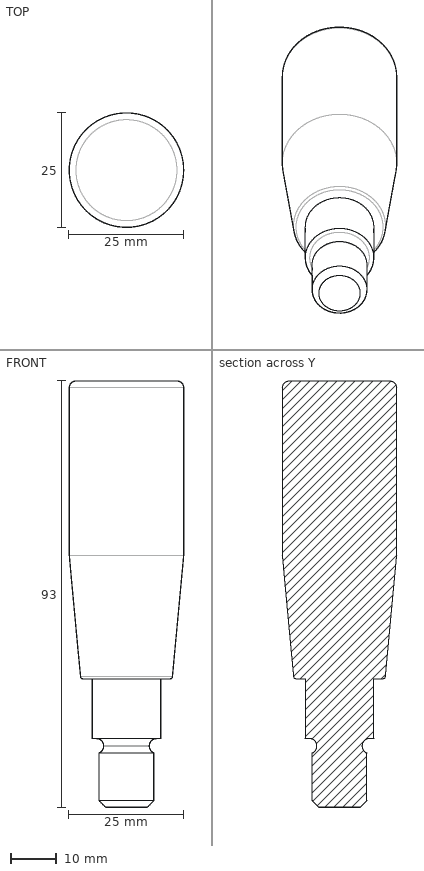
import cadquery as cq
import math

total_height = 93.0

stud_radius = 12.0 / 2
stud_chamfer = 1.5
stud_tip_radius = stud_radius - stud_chamfer

collar_radius = 15.0 / 2
collar_bottom = 15.0

neck_radius = 10.0 / 2
neck_land = 0.2
relief_arc_radius = 1.5
relief_center_radius = neck_radius + relief_arc_radius
neck_top = collar_bottom - relief_arc_radius
neck_bottom = neck_top - neck_land

relief_runout = math.sqrt(relief_arc_radius**2 - (relief_center_radius - stud_radius) ** 2)
stud_top = neck_bottom - relief_runout

grip_radius = 25.0 / 2
grip_bottom_radius = 20.0 / 2
grip_bottom = 28.0
grip_bottom_rounding = 0.6
taper_top = 55.0
grip_top_rounding = 1.5


def build_spindle():
    """Stud, thread relief and collar, up to the underside of the grip."""
    return (
        cq.Workplane("XZ")
        .moveTo(0, 0)
        .lineTo(stud_tip_radius, 0)
        .lineTo(stud_radius, stud_chamfer)
        .lineTo(stud_radius, stud_top)
        .radiusArc((neck_radius, neck_bottom), relief_arc_radius)
        .lineTo(neck_radius, neck_top)
        .radiusArc((relief_center_radius, collar_bottom), relief_arc_radius)
        .lineTo(collar_radius, collar_bottom)
        .lineTo(collar_radius, grip_bottom)
        .lineTo(0, grip_bottom)
        .close()
        .revolve(360, (0, 0), (0, 1))
    )


def build_grip():
    """Tapered and cylindrical grip with both end rims rounded."""
    grip = (
        cq.Workplane("XZ")
        .moveTo(0, grip_bottom)
        .lineTo(grip_bottom_radius, grip_bottom)
        .lineTo(grip_radius, taper_top)
        .lineTo(grip_radius, total_height)
        .lineTo(0, total_height)
        .close()
        .revolve(360, (0, 0), (0, 1))
    )
    grip = grip.faces(">Z").edges().fillet(grip_top_rounding)
    return grip.faces("<Z").edges().fillet(grip_bottom_rounding)


result = build_spindle().union(build_grip())